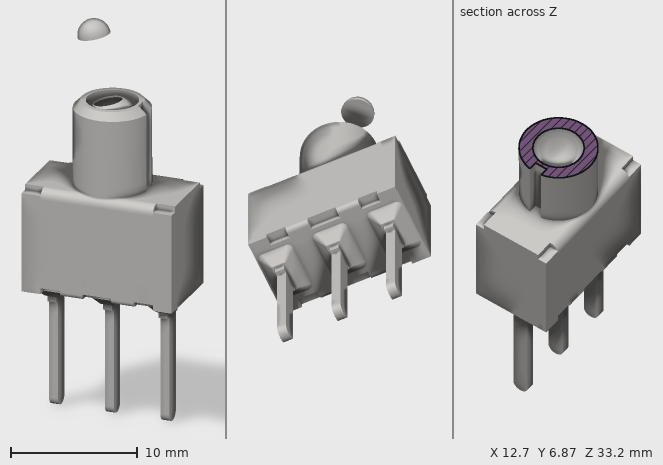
import cadquery as cq
import math


block_length = 12.7
block_width = 6.87
block_height = 8.85
core_width = 5.3
post_length = 1.6
post_ledge_drop = 0.5
panel_thickness = (block_width - core_width) / 2
panel_length = block_length - 2 * post_length

edge_notch_height = 0.5
tab_outer_x = 3.12
tab_bend_radius = 0.4
middle_notch_bottom = 2.52
middle_notch_top = 2.4

bushing_diameter = 6.27
bushing_height = 7.1
bushing_chamfer = 0.6
bore_diameter = 4.2
keyway_width = 1.05
keyway_floor_x = 2.35

ball_radius = bore_diameter / 2
ball_wall = 0.1
ball_centre_z = 14.1
ball_hole_diameter = 2.35
lever_tilt = 12.3

tip_radius = 1.33
tip_distance = 7.35

pin_count = 3
pin_pitch = 4.7
pin_thickness = 0.75
pin_width = 1.4
pin_tip_z = -10.6
shoulder_width = 2.12
shoulder_bottom_z = -1.55
boss_height = 1.0
boss_end_length = 1.2
boss_end_width = 2.6
boss_end_corner = 0.1
boss_flare = 0.9
boss_root_corner = 0.45


def centred_box(length, width, bottom, top):
    """Box centred on the Z axis between two heights."""
    return cq.Workplane("XY").workplane(offset=bottom).rect(length, width).extrude(top - bottom)


def make_side_panel():
    """Front side panel, reaching inwards to the mid-plane of the block.

    The top edge is rounded over and the notched lower edge leaves two bent tabs.
    """
    panel = (
        centred_box(panel_length, block_width / 2, 0, block_height)
        .translate((0, -block_width / 4, 0))
    )
    panel = panel.faces("<Y").edges(">Z").fillet(panel_thickness)
    panel = panel.faces("<Y").edges("<Z").fillet(tab_bend_radius)

    notch_length = panel_length / 2 - tab_outer_x
    for side in (-1, 1):
        end_notch = (
            centred_box(notch_length, block_width, 0, edge_notch_height)
            .translate((side * (tab_outer_x + notch_length / 2), 0, 0))
        )
        panel = panel.cut(end_notch)
    middle_notch = (
        cq.Workplane("XZ")
        .polyline([
            (-middle_notch_bottom / 2, 0),
            (middle_notch_bottom / 2, 0),
            (middle_notch_top / 2, edge_notch_height),
            (-middle_notch_top / 2, edge_notch_height),
        ])
        .close()
        .extrude(block_width)
    )
    return panel.cut(middle_notch)


def make_block():
    """Core, four corner posts and the two side panels."""
    core = centred_box(block_length, core_width, 0, block_height)
    block = centred_box(block_length, block_width, 0, block_height - post_ledge_drop)
    posts = block.cut(centred_box(panel_length, block_width, 0, block_height))
    front_panel = make_side_panel()
    back_panel = front_panel.mirror("XZ")
    return core.union(posts).union(front_panel).union(back_panel)


def make_bushing():
    """Chamfered tube with a keyway; solid below the middle of the ball."""
    bushing_top = block_height + bushing_height
    bushing = (
        cq.Workplane("XY").workplane(offset=block_height)
        .circle(bushing_diameter / 2).extrude(bushing_height)
        .faces(">Z").chamfer(bushing_chamfer)
    )
    bore = (
        cq.Workplane("XY").workplane(offset=ball_centre_z)
        .circle(bore_diameter / 2).extrude(bushing_top - ball_centre_z)
    )
    keyway_depth = bushing_diameter / 2 - keyway_floor_x
    keyway = (
        centred_box(keyway_depth, keyway_width, block_height, bushing_top)
        .translate((keyway_floor_x + keyway_depth / 2, 0, 0))
    )
    return bushing.cut(bore).cut(keyway)


def on_lever_axis(shape):
    """Move a shape built about the Z axis onto the tilted lever axis through the ball centre."""
    return shape.rotate((0, 0, 0), (0, 1, 0), -lever_tilt).translate((0, 0, ball_centre_z))


def make_ball():
    """Upper half of the ball, seated on the bore floor."""
    ball = cq.Workplane("XY").sphere(ball_radius)
    upper_half = centred_box(bore_diameter, bore_diameter, 0, ball_radius)
    return ball.intersect(upper_half).translate((0, 0, ball_centre_z))


def make_ball_cavity():
    """Hollow of the ball and the round opening the lever leaves through."""
    cavity = cq.Workplane("XY").sphere(ball_radius - ball_wall)
    opening = cq.Workplane("XY").circle(ball_hole_diameter / 2).extrude(bore_diameter)
    return on_lever_axis(cavity.union(opening))


def make_boss():
    """Pyramid-like boss below the block, flaring towards it at equal slopes."""
    end = (
        cq.Sketch().rect(boss_end_length, boss_end_width)
        .vertices().fillet(boss_end_corner)
    )
    root = (
        cq.Sketch().rect(boss_end_length + 2 * boss_flare, boss_end_width + 2 * boss_flare)
        .vertices().fillet(boss_root_corner)
    )
    return (
        cq.Workplane("XY")
        .placeSketch(end.moved(cq.Location(cq.Vector(0, 0, -boss_height))), root)
        .loft(ruled=True)
    )


def make_pin():
    """Flat pin with a wider shoulder and a full-round tip."""
    shoulder = centred_box(pin_thickness, shoulder_width, shoulder_bottom_z, -boss_height)
    tip_centre_z = pin_tip_z + pin_width / 2
    blade = (
        cq.Workplane("YZ")
        .moveTo(-pin_width / 2, shoulder_bottom_z)
        .lineTo(-pin_width / 2, tip_centre_z)
        .threePointArc((0, pin_tip_z), (pin_width / 2, tip_centre_z))
        .lineTo(pin_width / 2, shoulder_bottom_z)
        .close()
        .extrude(pin_thickness / 2, both=True)
    )
    return shoulder.union(blade)


def make_housing():
    """Block, bushing, ball and pins as one solid."""
    housing = make_block().union(make_bushing()).union(make_ball())
    terminal = make_boss().union(make_pin())
    for index in range(pin_count):
        pin_x = (index - (pin_count - 1) / 2) * pin_pitch
        housing = housing.union(terminal.translate((pin_x, 0, 0)))
    return housing.cut(make_ball_cavity()).solids()


def make_lever_tip():
    """Half-ball standing clear of the housing on the tilted lever axis."""
    arc_middle = tip_radius * math.sqrt(0.5)
    dome = (
        cq.Workplane("XZ")
        .moveTo(0, 0)
        .lineTo(tip_radius, 0)
        .threePointArc((arc_middle, arc_middle), (0, tip_radius))
        .close()
        .revolve(360, (0, 0), (0, 1))
    )
    return on_lever_axis(dome.translate((0, 0, tip_distance)))


housing = make_housing()
lever_tip = make_lever_tip()

result = cq.Compound.makeCompound([housing.val(), lever_tip.val()])